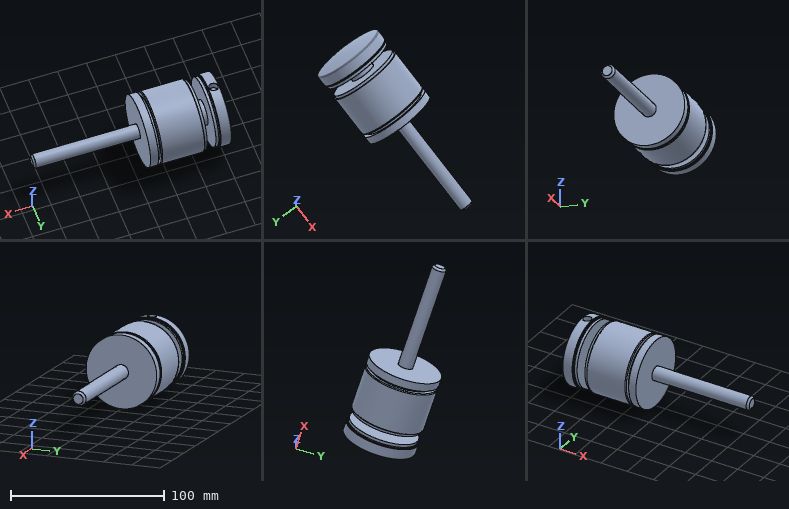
import cadquery as cq
import math


body_radius = 25.0
gasket_radius = 24.0
base_neck_radius = 22.0
stud_radius = 8.6
rod_radius = 5.0

dome_height = 3.08
cap_rim_length = 8.0
cap_neck_length = 0.8
gasket_thickness = 2.0
panel_gap = 6.0
housing_length = 30.0
base_neck_length = 2.0
base_disc_length = 5.6
overall_length = 133.08

cap_front_fillet = 0.6
cap_rear_chamfer = 0.4
housing_chamfer_length = 0.8
housing_chamfer_depth = 0.4
rod_chamfer = 1.5

rim_hole_radius = 3.0
rim_hole_depth = 5.0
drill_point_angle = 118.0
drill_overshoot = 1.0

stud_depth_in_cap = 5.0
stud_depth_in_housing = 10.0
rod_depth_in_housing = 10.0

cap_rim_start = dome_height
cap_rim_end = cap_rim_start + cap_rim_length
cap_end = cap_rim_end + cap_neck_length
front_gasket_end = cap_end + gasket_thickness
rear_gasket_start = front_gasket_end + panel_gap
housing_start = rear_gasket_start + gasket_thickness
housing_end = housing_start + housing_length
base_disc_start = housing_end + base_neck_length
base_end = base_disc_start + base_disc_length

stud_start = cap_end - stud_depth_in_cap
stud_end = housing_start + stud_depth_in_housing
rod_start = housing_end - rod_depth_in_housing


def cylinder(start, end, radius):
    """Solid cylinder on the X axis between two stations."""
    return cq.Workplane("YZ").workplane(offset=start).circle(radius).extrude(end - start)


stud_space = cylinder(stud_start, stud_end, stud_radius)
rod_space = cylinder(rod_start, overall_length, rod_radius)


def make_rim_hole():
    """Drill shape entering the cap rim from +Z."""
    drill_tip_height = rim_hole_radius / math.tan(math.radians(drill_point_angle / 2))
    floor = body_radius - rim_hole_depth
    above_rim = body_radius + drill_overshoot
    return (
        cq.Workplane("XZ")
        .moveTo(0, floor - drill_tip_height)
        .lineTo(rim_hole_radius, floor)
        .lineTo(rim_hole_radius, above_rim)
        .lineTo(0, above_rim)
        .close()
        .revolve(360, (0, 0, 0), (0, 1, 0))
        .translate(((cap_rim_start + cap_rim_end) / 2, 0, 0))
    )


def make_cap():
    """Domed cap with a stepped rear face, a rim hole and a socket for the stud."""
    dome_edge_radius = body_radius - cap_front_fillet
    dome_radius = (dome_edge_radius**2 + dome_height**2) / (2 * dome_height)
    half_edge_radius = dome_edge_radius / 2
    dome_middle = dome_radius - math.sqrt(dome_radius**2 - half_edge_radius**2)
    fillet_reach = cap_front_fillet * math.sqrt(0.5)
    profile = (
        cq.Workplane("XY")
        .moveTo(0, 0)
        .threePointArc((dome_middle, half_edge_radius), (cap_rim_start, dome_edge_radius))
        .threePointArc(
            (cap_rim_start + cap_front_fillet - fillet_reach, dome_edge_radius + fillet_reach),
            (cap_rim_start + cap_front_fillet, body_radius),
        )
        .lineTo(cap_rim_end - cap_rear_chamfer, body_radius)
        .lineTo(cap_rim_end, body_radius - cap_rear_chamfer)
        .lineTo(cap_rim_end, gasket_radius)
        .lineTo(cap_end, gasket_radius)
        .lineTo(cap_end, 0)
        .close()
    )
    cap = profile.revolve(360, (0, 0, 0), (1, 0, 0))
    return cap.cut(make_rim_hole()).cut(stud_space)


def make_gasket(start):
    """Flat ring around the stud."""
    return cylinder(start, start + gasket_thickness, gasket_radius).cut(stud_space)


def make_stud():
    """Plain stud joining the cap to the housing."""
    return stud_space


def make_housing():
    """Cylindrical housing with a slim rear chamfer and a socket at each end."""
    housing = (
        cq.Workplane("XY")
        .moveTo(housing_start, 0)
        .lineTo(housing_start, body_radius)
        .lineTo(housing_end - housing_chamfer_length, body_radius)
        .lineTo(housing_end, body_radius - housing_chamfer_depth)
        .lineTo(housing_end, 0)
        .close()
        .revolve(360, (0, 0, 0), (1, 0, 0))
    )
    return housing.cut(stud_space).cut(rod_space)


def make_base():
    """Rear disc with a narrower neck against the housing, pierced by the rod."""
    neck = cylinder(housing_end, base_disc_start, base_neck_radius)
    disc = cylinder(base_disc_start, base_end, body_radius)
    return neck.union(disc).cut(rod_space)


def make_rod():
    """Long mounting rod with a chamfered free end."""
    return rod_space.faces(">X").chamfer(rod_chamfer)


cap = make_cap()
gaskets = [make_gasket(start) for start in (cap_end, rear_gasket_start)]
stud = make_stud()
housing = make_housing()
base = make_base()
rod = make_rod()

result = cq.Compound.makeCompound(
    [
        cap.val(),
        *[gasket.val() for gasket in gaskets],
        stud.val(),
        housing.val(),
        base.val(),
        rod.val(),
    ]
)